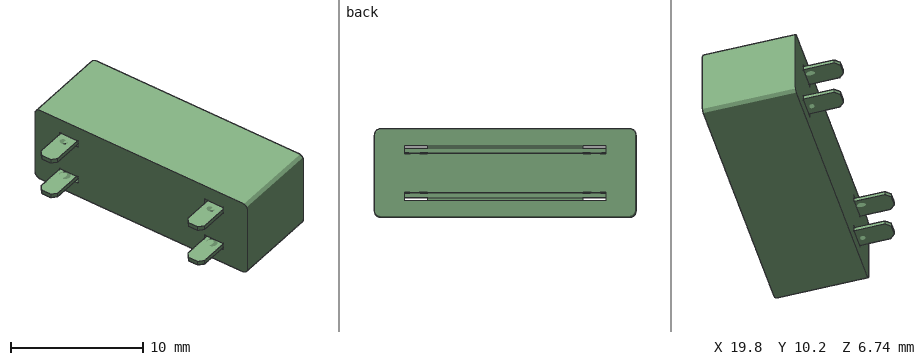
import cadquery as cq
import math

length = 19.81
height = 6.74
overall_depth = 10.16
pin_length = 2.8
depth = overall_depth - pin_length
corner_radius = 0.52
back_edge_radius = 0.18

plate_thickness = 0.35
plate_inner_z = 1.53
leg_outer_x = 7.6
leg_width = 1.55
bridge_width = 1.98
tip_taper_width = 0.35
tip_taper_length = 0.4

dimple_offset = 0.4
dimple_radius = 0.5
dome_radius = 0.61
bend_radius = 0.1

slot_inner_z = 1.47
slot_height = 0.6
slot_width = 1.72

front_y = -depth / 2
back_y = depth / 2
tip_y = front_y - pin_length
leg_inner_x = leg_outer_x - leg_width
leg_center_x = leg_outer_x - leg_width / 2
plate_outer_z = plate_inner_z + plate_thickness
bridge_y = back_y - bridge_width
SIDES = (-1, 1)


def dimple_surface(dome_arc_radius, bend_arc_radius, base_z):
    """Dome pointing toward -Z with a flat base at base_z, its rim blended tangentially into the base.

    The dome arc is centred on the Z axis and the bend arc at dimple_radius from it.
    """
    bend_z = plate_inner_z - bend_radius
    dome_z = bend_z + math.sqrt((dome_radius + bend_radius) ** 2 - dimple_radius**2)
    tilt = math.asin(dimple_radius / (dome_radius + bend_radius))

    def dome_point(angle):
        return (dome_arc_radius * math.sin(angle), dome_z - dome_arc_radius * math.cos(angle))

    def bend_point(angle):
        return (dimple_radius - bend_arc_radius * math.sin(angle), bend_z + bend_arc_radius * math.cos(angle))

    profile = cq.Workplane("XZ").moveTo(*dome_point(0))
    profile = profile.threePointArc(dome_point(tilt / 2), dome_point(tilt))
    profile = profile.threePointArc(bend_point(tilt / 2), bend_point(0))
    profile = profile.lineTo(0, base_z).close()
    return profile.revolve(360, (0, 0), (0, 1))


def make_terminal():
    """Upper terminal: two tapered legs joined by a bridge at the back of the housing."""
    right_half = [
        (leg_inner_x, bridge_y),
        (leg_inner_x, tip_y + tip_taper_length),
        (leg_inner_x + tip_taper_width, tip_y),
        (leg_outer_x - tip_taper_width, tip_y),
        (leg_outer_x, tip_y + tip_taper_length),
        (leg_outer_x, back_y),
    ]
    left_half = [(-x, y) for x, y in reversed(right_half)]
    terminal = cq.Workplane("XY").workplane(offset=plate_inner_z)
    terminal = terminal.polyline(right_half + left_half).close().extrude(plate_thickness)
    bump = dimple_surface(dome_radius, bend_radius, plate_inner_z)
    hollow = dimple_surface(dome_radius - plate_thickness, bend_radius + plate_thickness, plate_outer_z)
    for side in SIDES:
        place = (side * leg_center_x, front_y - dimple_offset, 0)
        terminal = terminal.union(bump.translate(place)).cut(hollow.translate(place))
    return terminal


def make_slot():
    """Upper opening: two slots right through the housing, joined at the back for the bridge."""
    z = slot_inner_z + slot_height / 2
    slot_x = leg_outer_x - slot_width / 2
    slot = cq.Workplane("XY").box(2 * leg_outer_x, bridge_width, slot_height)
    slot = slot.translate((0, back_y - bridge_width / 2, z))
    for side in SIDES:
        leg_slot = cq.Workplane("XY").box(slot_width, depth, slot_height)
        slot = slot.union(leg_slot.translate((side * slot_x, 0, z)))
    return slot


def make_housing():
    housing = cq.Workplane("XY").box(length, depth, height)
    housing = housing.edges("|Y").fillet(corner_radius)
    housing = housing.faces(">Y").edges().fillet(back_edge_radius)
    slot = make_slot()
    return housing.cut(slot).cut(slot.mirror("XY"))


housing = make_housing()
upper_terminal = make_terminal()
terminals = [upper_terminal, upper_terminal.mirror("XY")]

result = cq.Compound.makeCompound([housing.val(), *[terminal.val() for terminal in terminals]])